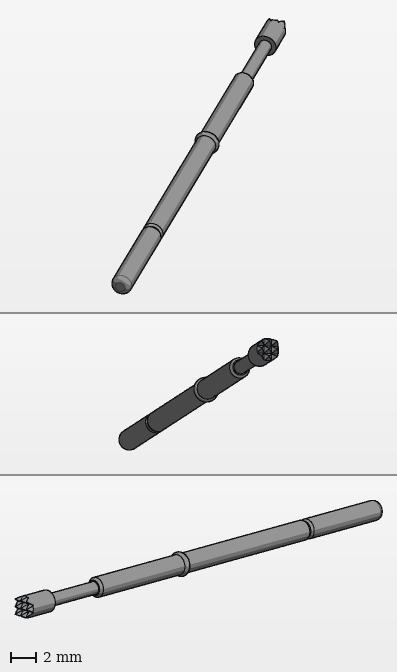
import cadquery as cq
import math

total_length = 40.3

head_diameter = 1.8
plunger_diameter = 1.05
barrel_diameter = 1.65
collar_diameter = 2.0
mouth_diameter = 1.25
crimp_diameter = 1.4

head_length = 3.0
plunger_exposed_length = 5.28
mouth_length = 0.24
collar_width = 0.6
collar_tip_distance = 18.0
crimp_width = 0.5
crimp_tip_distance = 32.1
tail_round_radius = 0.42

point_pitch = 0.62
groove_angle = 57.0

head_base = total_length - head_length
barrel_end = head_base - plunger_exposed_length
collar_center = total_length - collar_tip_distance
crimp_center = total_length - crimp_tip_distance


def make_barrel():
    """Barrel with a rounded tail, a V-shaped crimp groove and a tapered mouth."""
    barrel_radius = barrel_diameter / 2
    profile = (
        cq.Workplane("XY")
        .lineTo(barrel_radius - tail_round_radius, 0)
        .radiusArc((barrel_radius, tail_round_radius), -tail_round_radius)
        .lineTo(barrel_radius, crimp_center - crimp_width / 2)
        .lineTo(crimp_diameter / 2, crimp_center)
        .lineTo(barrel_radius, crimp_center + crimp_width / 2)
        .lineTo(barrel_radius, barrel_end - mouth_length)
        .lineTo(mouth_diameter / 2, barrel_end)
        .lineTo(0, barrel_end)
        .close()
    )
    return profile.revolve(360, (0, 0, 0), (0, 1, 0))


def make_collar():
    """Press ring around the barrel with a half-round rim."""
    collar_radius = collar_diameter / 2
    rim_radius = collar_width / 2
    lower = collar_center - rim_radius
    upper = collar_center + rim_radius
    profile = (
        cq.Workplane("XY")
        .moveTo(0, lower)
        .lineTo(collar_radius - rim_radius, lower)
        .threePointArc((collar_radius, collar_center), (collar_radius - rim_radius, upper))
        .lineTo(0, upper)
        .close()
    )
    return profile.revolve(360, (0, 0, 0), (0, 1, 0))


def make_cylinder(diameter, start, end):
    """Cylinder on the probe axis between two positions along Y."""
    return cq.Workplane("XZ", origin=(0, start, 0)).circle(diameter / 2).extrude(start - end)


def make_ridges(plane):
    """Three parallel sharp ridges whose crests lie at the head end."""
    slope = 1 / math.tan(math.radians(groove_angle / 2))
    valley = total_length - slope * point_pitch / 2
    outer_edge = 1.5 * point_pitch
    profile = cq.Workplane(plane).moveTo(-outer_edge, head_base).lineTo(-outer_edge, valley)
    for crest in (-point_pitch, 0, point_pitch):
        profile = profile.lineTo(crest, total_length).lineTo(crest + point_pitch / 2, valley)
    profile = profile.lineTo(outer_edge, head_base).close()
    return profile.extrude(head_diameter, both=True)


def make_head():
    """Head cylinder with nine points where two crossing sets of ridges meet."""
    ridges_along_z = make_ridges("XY")
    ridges_along_x = make_ridges("ZY")
    head = make_cylinder(head_diameter, head_base, total_length)
    return head.intersect(ridges_along_z).intersect(ridges_along_x)


plunger = make_cylinder(plunger_diameter, barrel_end, head_base)
result = make_barrel().union(make_collar()).union(plunger).union(make_head())